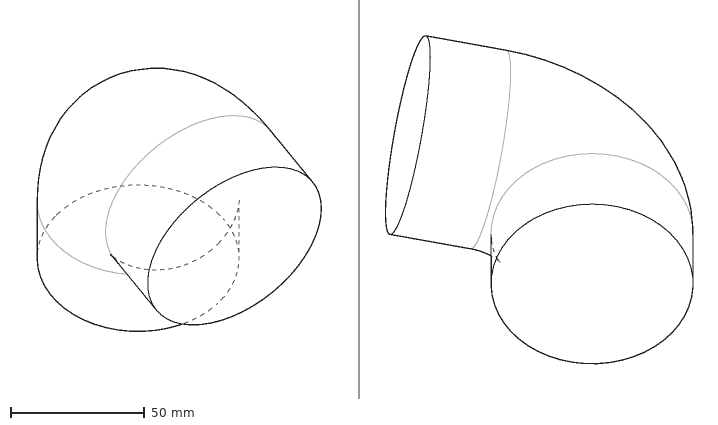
import cadquery as cq

overall_length = 109.0
pipe_diameter = 76.0
bend_radius = 40.0

pipe_radius = pipe_diameter / 2
spigot_length = overall_length - bend_radius - pipe_radius
bend_angle = 90


def lower_spigot():
    """Vertical straight end, from its bottom face up to the bend."""
    return cq.Workplane("XY").circle(pipe_radius).extrude(spigot_length)


def bend():
    """Quarter torus turning from +Z to +X about an axis parallel to Y."""
    return (
        cq.Workplane("XY", origin=(0, 0, spigot_length))
        .circle(pipe_radius)
        .revolve(bend_angle, (bend_radius, 0, 0), (bend_radius, 1, 0))
    )


def side_spigot():
    """Horizontal straight end, from the bend out to its +X face."""
    return (
        cq.Workplane("YZ", origin=(bend_radius, 0, spigot_length + bend_radius))
        .circle(pipe_radius)
        .extrude(spigot_length)
    )


result = lower_spigot().union(bend()).union(side_spigot())